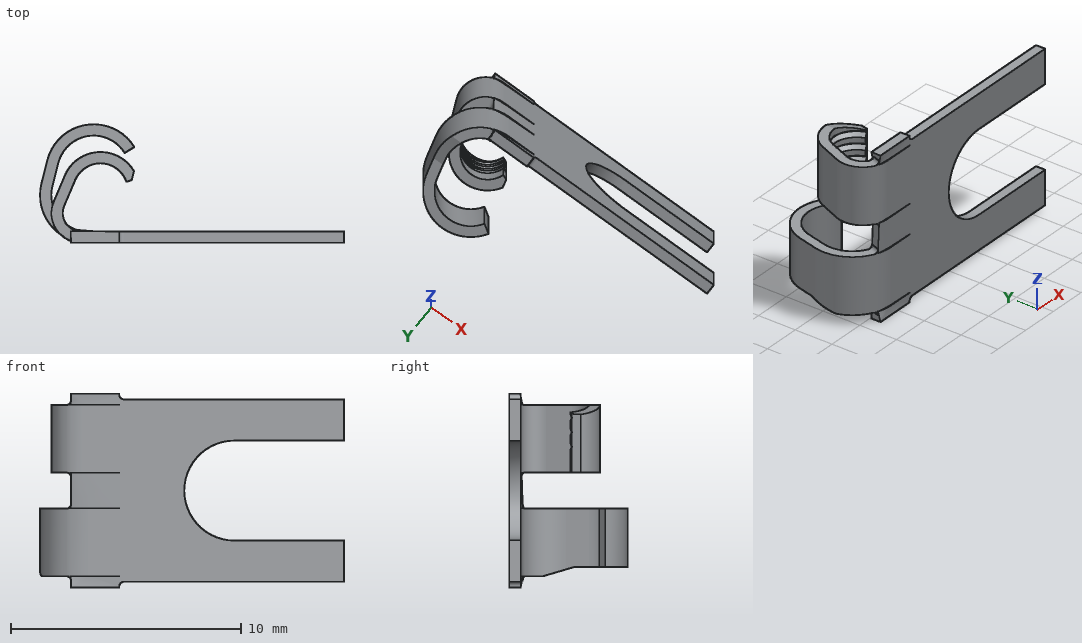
import cadquery as cq
import math

thickness = 0.5
plate_end_x = 11.86
plate_half_height = 3.965
slot_radius = 2.165
slot_center_x = 7.09

root_x = 2.1
root_half_height = 4.215
shoulder_radius = 0.2
relief_radius = 0.2

curl_inner_z = 0.775
curl_outer_z = 3.725

large_bend_x = 0.73
large_bend_radius = 2.08
large_lean = math.radians(14.2)
large_head_radius = 2.08
large_height = 5.16
large_tip_angle = math.radians(31.5)

small_bend_x = 0.448
small_bend_radius = 1.3
small_lean = math.radians(23)
small_head_radius = 1.69
small_height = 3.955
small_tip_angle = math.radians(18.8)
small_tip_bevel_angle = math.radians(30.4)
small_tip_bevel_depth = 0.25

taper_drop = 0.405
large_taper_start_y = 1.47
large_taper_end_y = 2.84
small_taper_length = 1.4

groove_count = 3
groove_pitch = 0.63
groove_first_z = 3.0
groove_slope_height = 0.17
groove_depth = 0.22
groove_overrun = math.radians(10)

large_bend = (large_bend_x, large_bend_radius)
small_bend = (small_bend_x, small_bend_radius)
clearance = 1.0


def polar(center, radius, angle):
    """Point at the given radius and angle around a centre."""
    return (center[0] + radius * math.cos(angle), center[1] + radius * math.sin(angle))


def head_center(bend, lean, head_radius, height):
    """Centre of the head arc that is joined to the bend by a leaning tangent line."""
    bend_x, bend_radius = bend
    center_y = height - head_radius
    radius_step = head_radius - bend_radius
    straight = (center_y - bend_radius + radius_step * math.sin(lean)) / math.cos(lean)
    center_x = bend_x + straight * math.sin(lean) + radius_step * math.cos(lean)
    return (center_x, center_y)


def curl(bend, lean, head_radius, height, tip_angle, z_low, z_high):
    """Sheet that leaves the plate, bends up, leans over and ends in a round head."""
    bend_x, bend_radius = bend
    head = head_center(bend, lean, head_radius, height)
    bend_inside = bend_radius - thickness
    head_inside = head_radius - thickness
    lean_angle = math.pi - lean
    bend_middle = (lean_angle + 1.5 * math.pi) / 2
    head_middle = (lean_angle + tip_angle) / 2
    return (
        cq.Workplane("XY", origin=(0, 0, z_low))
        .moveTo(root_x, 0)
        .lineTo(bend_x, 0)
        .threePointArc(polar(bend, bend_radius, bend_middle), polar(bend, bend_radius, lean_angle))
        .lineTo(*polar(head, head_radius, lean_angle))
        .threePointArc(polar(head, head_radius, head_middle), polar(head, head_radius, tip_angle))
        .lineTo(*polar(head, head_inside, tip_angle))
        .threePointArc(polar(head, head_inside, head_middle), polar(head, head_inside, lean_angle))
        .lineTo(*polar(bend, bend_inside, lean_angle))
        .threePointArc(polar(bend, bend_inside, bend_middle), (bend_x, thickness))
        .lineTo(root_x, thickness)
        .close()
        .extrude(z_high - z_low)
    )


def large_curl(z_low, z_high):
    """Full-width large curl between two heights."""
    return curl(large_bend, large_lean, large_head_radius, large_height, large_tip_angle, z_low, z_high)


def small_curl(z_low, z_high):
    """Full-width small curl between two heights."""
    return curl(small_bend, small_lean, small_head_radius, small_height, small_tip_angle, z_low, z_high)


def fork_plate():
    """Flat plate with an open round-ended slot and concave shoulders at the root."""
    length = plate_end_x - root_x
    plate = cq.Workplane("XY").box(length, thickness, 2 * plate_half_height, centered=(False, False, True))
    plate = plate.translate((root_x, 0, 0))
    slot = (
        cq.Workplane("XZ")
        .moveTo(plate_end_x + clearance, slot_radius)
        .lineTo(slot_center_x, slot_radius)
        .threePointArc((slot_center_x - slot_radius, 0), (slot_center_x, -slot_radius))
        .lineTo(plate_end_x + clearance, -slot_radius)
        .close()
        .extrude(-thickness)
    )
    plate = plate.cut(slot)
    for side in (1, -1):
        edge_z = side * plate_half_height
        plate = plate.union(corner_fillet(root_x, edge_z, 1, side, shoulder_radius, thickness))
    return plate


def corner_fillet(x, z, x_side, z_side, radius, depth):
    """Concave corner filler in the XZ plane, growing from the corner towards the given sides."""
    center = (x + x_side * radius, z + z_side * radius)
    reach = radius * math.sqrt(0.5)
    return (
        cq.Workplane("XZ")
        .moveTo(x, z)
        .lineTo(center[0], z)
        .threePointArc((center[0] - x_side * reach, center[1] - z_side * reach), (x, center[1]))
        .close()
        .extrude(-depth)
    )


def end_lean(bend):
    """Angle from the Y axis of the tab end, which is square to the bent sheet."""
    bend_x, bend_radius = bend
    return math.asin(bend_x / bend_radius)


def tab_section(z, bend=None):
    """Closed tab section at height z: flat, or with its end raised onto the given bend."""

    def face_curve(offset):
        """Control points from the tab end to the root, tangent to the bend and to the plate."""
        if bend is None:
            return [(0, offset), (root_x / 2, offset), (root_x, offset)]
        bend_x, bend_radius = bend
        end_angle = 1.5 * math.pi - end_lean(bend)
        tangent_length = (bend_radius - offset) * math.tan(end_lean(bend) / 2)
        end_point = polar(bend, bend_radius - offset, end_angle)
        return [end_point, (bend_x - tangent_length, offset), (root_x, offset)]

    outside = face_curve(0)
    inside = face_curve(thickness)
    return (
        cq.Workplane("XY", origin=(0, 0, z))
        .moveTo(*outside[0])
        .bezier(outside[1:], includeCurrent=True)
        .lineTo(*inside[-1])
        .bezier(inside[-2::-1], includeCurrent=True)
        .close()
        .wire()
        .val()
    )


def tabs():
    """Three tabs whose faces blend from the bend of a curl to the next curl or to a flat edge."""
    spans = (
        (tab_section(curl_outer_z, small_bend), tab_section(root_half_height)),
        (tab_section(-curl_inner_z, large_bend), tab_section(curl_inner_z, small_bend)),
        (tab_section(-root_half_height), tab_section(-curl_outer_z, large_bend)),
    )
    return [cq.Workplane(cq.Solid.makeLoft(list(span), True)) for span in spans]


def relief_fillets():
    """Concave fillets between the tab ends and the edges of the curls."""
    corners = (
        (small_curl, small_bend, curl_outer_z, 1),
        (small_curl, small_bend, curl_inner_z, -1),
        (large_curl, large_bend, -curl_inner_z, 1),
        (large_curl, large_bend, -curl_outer_z, -1),
    )
    fillets = []
    for curl_shape, bend, z, z_side in corners:
        lean = end_lean(bend)
        end_y = bend[1] * (1 - math.cos(lean))
        fillet = corner_fillet(0, z, -1, z_side, relief_radius, clearance)
        fillet = fillet.rotate((0, 0, 0), (0, 0, 1), -math.degrees(lean)).translate((0, end_y, 0))
        sheet = curl_shape(z - relief_radius, z + relief_radius)
        fillets.append(sheet.intersect(fillet))
    return fillets


def tapered_large_curl():
    """Large curl whose lower edge rises along Y to a narrower head."""
    top_y = large_height + clearance
    narrow_z = -curl_outer_z + taper_drop
    taper = (
        cq.Workplane("YZ", origin=(-plate_end_x, 0, 0))
        .moveTo(large_taper_start_y, -curl_outer_z)
        .lineTo(large_taper_end_y, narrow_z)
        .lineTo(top_y, narrow_z)
        .lineTo(top_y, -curl_outer_z)
        .close()
        .extrude(2 * plate_end_x)
    )
    return large_curl(-curl_outer_z, -curl_inner_z).cut(taper)


def thread_grooves(center):
    """V-shaped grooves revolved around the axis of the small head."""
    crest = small_head_radius - thickness
    root = crest + groove_depth
    start = small_tip_angle - groove_overrun
    sweep = math.pi - small_lean - start
    grooves = []
    for index in range(groove_count):
        z = groove_first_z - index * groove_pitch
        groove = (
            cq.Workplane("XZ")
            .moveTo(crest, z)
            .lineTo(root, z + groove_slope_height)
            .lineTo(crest, z + 2 * groove_slope_height)
            .close()
            .revolve(math.degrees(sweep), (0, 0, 0), (0, 1, 0))
        )
        grooves.append(groove.rotate((0, 0, 0), (0, 0, 1), math.degrees(start)).translate((*center, 0)))
    return grooves


def finished_small_curl():
    """Small curl with a tapered upper edge, a bevelled tip and thread grooves."""
    center = head_center(small_bend, small_lean, small_head_radius, small_height)
    taper_end = center[0] + small_taper_length
    taper = (
        cq.Workplane("XZ", origin=(0, center[1], 0))
        .moveTo(center[0], curl_outer_z)
        .lineTo(taper_end, curl_outer_z - taper_drop)
        .lineTo(taper_end + clearance, curl_outer_z - taper_drop)
        .lineTo(taper_end + clearance, curl_outer_z)
        .close()
        .extrude(-small_height)
    )
    bevel = (
        cq.Workplane("XY")
        .polyline([
            polar(center, small_head_radius - small_tip_bevel_depth, small_tip_angle),
            polar(center, small_head_radius, small_tip_bevel_angle),
            polar(center, small_head_radius + clearance, small_tip_angle),
        ])
        .close()
        .extrude(root_half_height)
    )
    shape = small_curl(curl_inner_z, curl_outer_z).cut(taper).cut(bevel)
    for groove in thread_grooves(center):
        shape = shape.cut(groove)
    return shape


result = fork_plate().union(finished_small_curl()).union(tapered_large_curl())
for piece in tabs() + relief_fillets():
    result = result.union(piece)